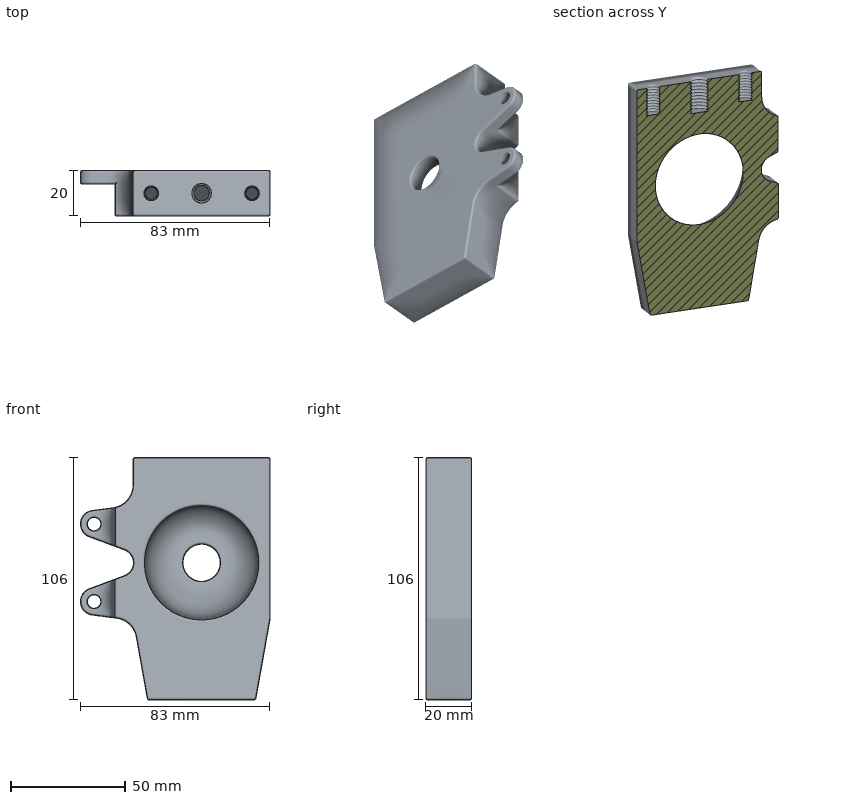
import cadquery as cq
import math


height = 106.0
depth = 20.0
half_width = 30.0
top_z = 46.0
bottom_z = top_z - height
taper_start_z = -24.4
bottom_half_width = 23.6
edge_radius = 1.0

lug_x = -47.1
lug_z = 17.0
lug_radius = 5.9
lug_hole_radius = 3.0
lug_thickness = 6.0
outer_flank_angle = math.radians(7.5)
inner_flank_angle = math.radians(20.4)
upper_step_x = -37.7
lower_step_x = -38.0

shoulder_radius = 10.0
notch_radius = 6.0

bowl_radius = 25.0
bowl_depth = 12.0
bowl_corner_radius = 10.0
bore_radius = 8.2

side_hole_x = 22.0
side_minor_radius = 2.6
side_major_radius = 3.2
side_pitch = 1.3
middle_minor_radius = 3.4
middle_major_radius = 4.2
middle_pitch = 1.5
thread_turns = 10


def mirrored(point):
    """The same point on the other side of the bore axis."""
    return (point[0], -point[1])


def make_plate():
    """Extruded outline of the plate and its lugs, with the concave corners rounded."""
    outer_start = (
        lug_x - lug_radius * math.sin(outer_flank_angle),
        lug_z + lug_radius * math.cos(outer_flank_angle),
    )
    inner_start = (
        lug_x - lug_radius * math.sin(inner_flank_angle),
        lug_z - lug_radius * math.cos(inner_flank_angle),
    )
    tip = (lug_x - lug_radius, lug_z)

    outer_slope = math.tan(outer_flank_angle)
    upper_corner = (-half_width, outer_start[1] + outer_slope * (-half_width - outer_start[0]))
    taper_slope = (half_width - bottom_half_width) / (taper_start_z - bottom_z)
    drop = (taper_start_z + upper_corner[1]) / (1 + outer_slope * taper_slope)
    lower_corner = (-half_width + taper_slope * drop, taper_start_z - drop)
    notch_corner = (inner_start[0] + inner_start[1] / math.tan(inner_flank_angle), 0)

    plate = (
        cq.Workplane("XZ")
        .moveTo(-half_width, top_z)
        .lineTo(*upper_corner)
        .lineTo(*outer_start)
        .threePointArc(tip, inner_start)
        .lineTo(*notch_corner)
        .lineTo(*mirrored(inner_start))
        .threePointArc(mirrored(tip), mirrored(outer_start))
        .lineTo(*lower_corner)
        .lineTo(-bottom_half_width, bottom_z)
        .lineTo(bottom_half_width, bottom_z)
        .lineTo(half_width, taper_start_z)
        .lineTo(half_width, top_z)
        .close()
        .extrude(-depth)
    )
    corners = (
        (upper_corner, shoulder_radius),
        (lower_corner, shoulder_radius),
        (notch_corner, notch_radius),
    )
    for (x, z), radius in corners:
        corner_edge = cq.selectors.NearestToPointSelector((x, depth / 2, z))
        plate = plate.edges("|Y").edges(corner_edge).fillet(radius)
    return plate


def cut_step(plate, step_x, side):
    """Thin one lug from the front up to step_x; side is 1 for the upper lug, -1 for the lower."""
    length = 2 * (step_x - lug_x + lug_radius)
    thickness = 2 * (depth - lug_thickness)
    cutter = cq.Workplane("XY").box(length, thickness, 2 * lug_z)
    return plate.cut(cutter.translate((step_x - length / 2, 0, side * lug_z)))


def round_outer_edges(plate):
    """Round the outside edges; the inside corners where the lugs meet their steps stay sharp."""
    lug_front_y = depth - lug_thickness
    face_rims = plate.faces("<Y or >Y").edges()
    end_corners = plate.edges("|Y and (>Z or <Z)")
    lug_fronts = cq.selectors.BoxSelector(
        (lug_x - 2 * lug_radius, lug_front_y - edge_radius, -half_width),
        (-half_width, lug_front_y + edge_radius, half_width),
    )
    lug_rims = plate.edges("#Y").edges(lug_fronts).edges("not |Z")
    steps = cq.selectors.BoxSelector(
        (lower_step_x - edge_radius / 2, 0, -half_width),
        (upper_step_x + edge_radius / 2, lug_front_y, half_width),
    )
    step_sides = plate.edges("|Y").edges(steps)
    return face_rims.add(end_corners).add(lug_rims).add(step_sides).fillet(edge_radius)


def make_bowl():
    """Round hollow sunk from the front face, with a wide inside corner and a rounded rim."""
    corner_middle = bowl_corner_radius * math.sqrt(0.5)
    rim_middle = edge_radius * math.sqrt(0.5)
    wall_end = bowl_depth - bowl_corner_radius
    floor_radius = bowl_radius - bowl_corner_radius
    rim_radius = bowl_radius + edge_radius
    profile = (
        cq.Workplane("XY")
        .lineTo(rim_radius, 0)
        .threePointArc((rim_radius - rim_middle, edge_radius - rim_middle), (bowl_radius, edge_radius))
        .lineTo(bowl_radius, wall_end)
        .threePointArc((floor_radius + corner_middle, wall_end + corner_middle), (floor_radius, bowl_depth))
        .lineTo(0, bowl_depth)
        .close()
    )
    return profile.revolve(360, (0, 0, 0), (0, 1, 0))


def make_bore():
    """Through hole behind the bowl, rounded at the bowl floor and at the back face."""
    rim_middle = edge_radius * math.sqrt(0.5)
    rim_radius = bore_radius + edge_radius
    front_end = bowl_depth + edge_radius
    back_start = depth - edge_radius
    profile = (
        cq.Workplane("XY")
        .moveTo(0, bowl_depth)
        .lineTo(rim_radius, bowl_depth)
        .threePointArc((rim_radius - rim_middle, front_end - rim_middle), (bore_radius, front_end))
        .lineTo(bore_radius, back_start)
        .threePointArc((rim_radius - rim_middle, back_start + rim_middle), (rim_radius, depth))
        .lineTo(0, depth)
        .close()
    )
    return profile.revolve(360, (0, 0, 0), (0, 1, 0))


def make_threaded_hole(x, minor_radius, major_radius, pitch):
    """Blind hole in the top face with one V-shaped ring per turn of the thread."""
    profile = cq.Workplane("XZ").lineTo(major_radius, 0)
    for turn in range(thread_turns):
        start_z = -turn * pitch
        profile = profile.lineTo(minor_radius, start_z - pitch / 2)
        profile = profile.lineTo(major_radius, start_z - pitch)
    profile = profile.lineTo(0, -thread_turns * pitch).close()
    return profile.revolve(360, (0, 0, 0), (0, 1, 0)).translate((x, depth / 2, top_z))


plate = make_plate()
plate = cut_step(plate, upper_step_x, 1)
plate = cut_step(plate, lower_step_x, -1)
plate = round_outer_edges(plate)

for side in (1, -1):
    lug_hole = cq.Workplane("XZ").center(lug_x, side * lug_z).circle(lug_hole_radius).extrude(-depth)
    plate = plate.cut(lug_hole)

plate = plate.cut(make_bowl()).cut(make_bore())
for side in (-1, 1):
    plate = plate.cut(
        make_threaded_hole(side * side_hole_x, side_minor_radius, side_major_radius, side_pitch)
    )
plate = plate.cut(make_threaded_hole(0, middle_minor_radius, middle_major_radius, middle_pitch))

result = plate